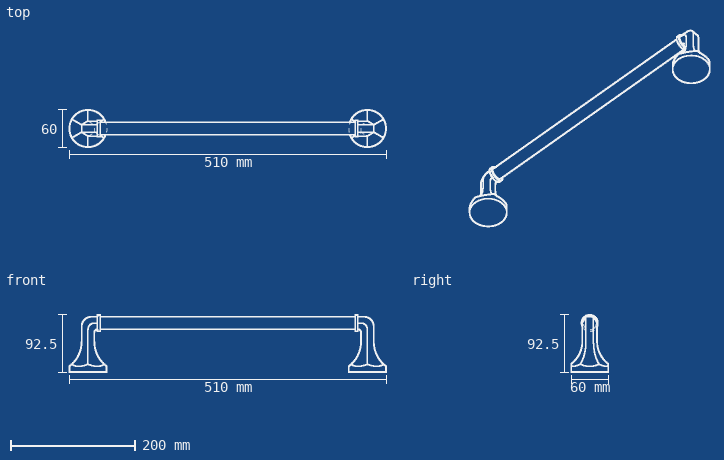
import cadquery as cq
import math

OVERALL_LENGTH = 510.0
BASE_DIAMETER = 60.0
COLUMN_X = (OVERALL_LENGTH - BASE_DIAMETER) / 2
BAR_Z = 79.0

BAR_RADIUS = 10.0
COLLAR_RADIUS = 13.5
COLLAR_THICKNESS = 4.5
BAR_HALF_LENGTH = 205.0
ARM_LENGTH = COLUMN_X - BAR_HALF_LENGTH - COLLAR_THICKNESS

HEX_WIDTH = 21.0
HEX_APOTHEM = HEX_WIDTH / 2
HEX_RADIUS = HEX_APOTHEM / math.cos(math.pi / 6)

NECK_Z = 49.0
FLARE_RADIUS = 49.5

INNER_BEND_RADIUS = 4.0
OUTER_BEND_RADIUS = 16.5


def flared_slab(angle):
    """Slab with two opposite flared sides, turned about Z; three of them make the hexagon."""
    tip_x = HEX_APOTHEM + FLARE_RADIUS
    tip_z = NECK_Z - FLARE_RADIUS
    mid_x = tip_x - FLARE_RADIUS * math.cos(math.pi / 4)
    mid_z = NECK_Z - FLARE_RADIUS * math.sin(math.pi / 4)
    slab = (
        cq.Workplane("XZ")
        .moveTo(-HEX_APOTHEM, NECK_Z)
        .lineTo(HEX_APOTHEM, NECK_Z)
        .threePointArc((mid_x, mid_z), (tip_x, tip_z))
        .lineTo(-tip_x, tip_z)
        .threePointArc((-mid_x, mid_z), (-HEX_APOTHEM, NECK_Z))
        .close()
        .extrude(BASE_DIAMETER, both=True)
    )
    return slab.rotate((0, 0, 0), (0, 0, 1), angle)


def make_foot():
    """Hexagonal flare trimmed by the round base."""
    foot = cq.Workplane("XY").circle(BASE_DIAMETER / 2).extrude(NECK_Z)
    for angle in (0, 60, 120):
        foot = foot.intersect(flared_slab(angle))
    return foot


def neck_edge_path(corner):
    """Line, arc and line followed by one corner of the hexagon up the column and along the arm."""
    angle = math.radians(30 + 60 * corner)
    x = HEX_RADIUS * math.cos(angle)
    y = HEX_RADIUS * math.sin(angle)
    outward = -x
    mean_radius = (INNER_BEND_RADIUS + OUTER_BEND_RADIUS) / 2
    growth = (OUTER_BEND_RADIUS - INNER_BEND_RADIUS) / (2 * HEX_APOTHEM)
    radius = mean_radius + growth * outward
    top = BAR_Z + outward
    sagitta = radius * (1 - math.cos(math.pi / 4))
    bottom = cq.Vector(x, y, NECK_Z)
    bend_start = cq.Vector(x, y, top - radius)
    bend_middle = cq.Vector(x + sagitta, y, top - sagitta)
    bend_end = cq.Vector(x + radius, y, top)
    arm_end = cq.Vector(ARM_LENGTH, y, top)
    return [
        cq.Edge.makeLine(bottom, bend_start),
        cq.Edge.makeThreePointArc(bend_start, bend_middle, bend_end),
        cq.Edge.makeLine(bend_end, arm_end),
    ]


def make_neck():
    """Hexagonal column, elbow and arm, enclosed by ruled sides and two flat ends."""
    paths = [neck_edge_path(corner) for corner in range(6)]
    faces = []
    for corner, path in enumerate(paths):
        next_path = paths[(corner + 1) % 6]
        for edge, next_edge in zip(path, next_path):
            faces.append(cq.Face.makeRuledSurface(edge, next_edge))
    column_end = cq.Wire.makePolygon([path[0].startPoint() for path in paths], close=True)
    arm_end = cq.Wire.makePolygon([path[-1].endPoint() for path in paths], close=True)
    faces.append(cq.Face.makeFromWires(column_end))
    faces.append(cq.Face.makeFromWires(arm_end))
    solid = cq.Solid.makeSolid(cq.Shell.makeShell(faces))
    return cq.Workplane(obj=solid.fix())


def make_bracket(turn):
    """One-piece foot and neck at the left end, turned about Z to reach either end."""
    bracket = make_foot().union(make_neck()).translate((-COLUMN_X, 0, 0))
    return bracket.rotate((0, 0, 0), (0, 0, 1), turn)


def rod(start_x, radius, length):
    """Round rod along X at the height of the bar."""
    return cq.Workplane("YZ", origin=(start_x, 0, BAR_Z)).circle(radius).extrude(length)


def make_collar(turn):
    """Round collar between the arm and the bar."""
    collar = rod(-BAR_HALF_LENGTH - COLLAR_THICKNESS, COLLAR_RADIUS, COLLAR_THICKNESS)
    return collar.rotate((0, 0, 0), (0, 0, 1), turn)


def make_bar():
    """Round bar spanning the two collars."""
    return rod(-BAR_HALF_LENGTH, BAR_RADIUS, 2 * BAR_HALF_LENGTH)


bodies = [make_bar().val()]
for end_turn in (0, 180):
    bodies.extend(make_bracket(end_turn).solids().vals())
    bodies.extend(make_collar(end_turn).solids().vals())

result = cq.Compound.makeCompound(bodies)